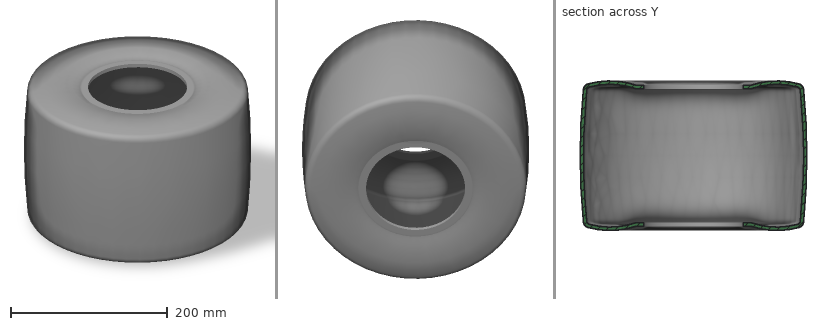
import cadquery as cq

outer_radius = 145.0
height = 191.5

bore_radius = 63.2
bead_radius = 73.5
bead_height = 90.2
crest_radius = 105.8
sidewall_radius = 133.0
sidewall_height = 92.2
tread_edge_radius = 141.0
tread_edge_height = 83.8
shoulder_mid_radius = 138.5
shoulder_mid_height = 89.3

wall_thickness = 5.0


section = (
    cq.Workplane("XZ")
    .moveTo(bore_radius, -bead_height)
    .lineTo(bore_radius, bead_height)
    .lineTo(bead_radius, bead_height)
    .threePointArc((crest_radius, height / 2), (sidewall_radius, sidewall_height))
    .threePointArc((shoulder_mid_radius, shoulder_mid_height), (tread_edge_radius, tread_edge_height))
    .threePointArc((outer_radius, 0), (tread_edge_radius, -tread_edge_height))
    .threePointArc((shoulder_mid_radius, -shoulder_mid_height), (sidewall_radius, -sidewall_height))
    .threePointArc((crest_radius, -height / 2), (bead_radius, -bead_height))
    .close()
)

tyre_body = section.revolve(360, (0, 0, 0), (0, 1, 0))

result = tyre_body.faces("%CYLINDER").shell(-wall_thickness)